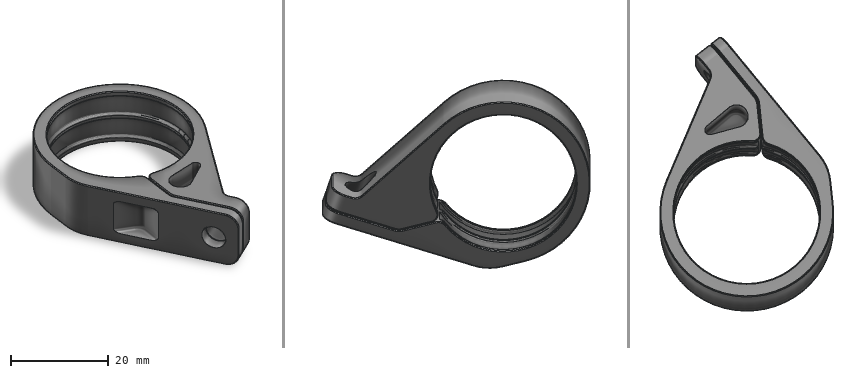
import cadquery as cq
import math

height = 12.7
half_height = height / 2
ring_radius = 17.85
bore_radius = 15.0
edge_chamfer = 0.2

tolerance = 1e-6

cutter_overrun = 1.0

lug_end_x = 32.89
lug_bottom_y = -19.29
lug_top_y = -12.7
lug_corner_radius = 3.1
flank_angle = 28.7
flank_fillet = 2.0
heel_radius = 10.16

bolt_hole_diameter = 5.2
bolt_x = 27.4

slit_width = 0.2
slit_level_y = -16.68
slit_bend_x = 17.2
slit_angle = 33.0
slit_bend_radius = 3.0
upper_lip_radius = 1.6
lower_lip_radius = 1.9

end_land = 1.0
middle_land = 0.6
groove_opening = half_height - end_land - middle_land / 2
groove_blend_radius = 0.3

tear_large_center = (17.2, -11.07)
tear_large_radius = 2.37
tear_small_center = (18.33, -5.0)
tear_small_radius = 1.02
tear_floor_fillet = 1.0
tear_depth = 5.0

wedge_center_x = 10.42
wedge_mouth = 9.86
wedge_wall_angle = 34.0
wedge_height = 8.15
wedge_apex_radius = 2.05
wedge_end_fillet = 1.05


def polar(radius, degrees, center=(0, 0)):
    """Point at a radius and angle from a centre."""
    angle = math.radians(degrees)
    return (center[0] + radius * math.cos(angle), center[1] + radius * math.sin(angle))


def make_blank():
    """Ring outline running tangentially into the lug, before the bore is cut."""
    heel_center = (0, lug_bottom_y + heel_radius)
    heel_turn = math.degrees(math.acos((ring_radius - heel_radius) / -heel_center[1]))
    heel_angle = 270 - heel_turn
    flank_cos = math.cos(math.radians(flank_angle))
    flank_sin = math.sin(math.radians(flank_angle))
    flank_end_x = (ring_radius - lug_top_y * flank_sin) / flank_cos
    blank = (
        cq.Workplane("XY")
        .workplane(offset=-half_height)
        .moveTo(*polar(ring_radius, flank_angle))
        .threePointArc(polar(ring_radius, (flank_angle + heel_angle) / 2), polar(ring_radius, heel_angle))
        .lineTo(*polar(heel_radius, heel_angle, heel_center))
        .threePointArc(polar(heel_radius, 270 - heel_turn / 2, heel_center), (0, lug_bottom_y))
        .lineTo(lug_end_x, lug_bottom_y)
        .lineTo(lug_end_x, lug_top_y)
        .lineTo(flank_end_x, lug_top_y)
        .close()
        .extrude(height)
    )
    flank_corner = cq.selectors.NearestToPointSelector((flank_end_x, lug_top_y, 0))
    blank = blank.edges(flank_corner).fillet(flank_fillet)
    return blank.edges(">X and |Y").fillet(lug_corner_radius)


def make_slit():
    """Thin bent slit from beyond the lug end to inside the bore."""
    rise = slit_bend_x * math.tan(math.radians(slit_angle))
    half_width = slit_width / 2
    shift = half_width * math.tan(math.radians(slit_angle / 2))
    steep_half = half_width / math.cos(math.radians(slit_angle))
    inner_y = slit_level_y + rise
    beyond_x = lug_end_x + cutter_overrun
    slit = (
        cq.Workplane("XY")
        .workplane(offset=-half_height)
        .polyline([
            (beyond_x, slit_level_y + half_width),
            (slit_bend_x + shift, slit_level_y + half_width),
            (0, inner_y + steep_half),
            (0, inner_y - steep_half),
            (slit_bend_x - shift, slit_level_y - half_width),
            (beyond_x, slit_level_y - half_width),
        ])
        .close()
        .extrude(height)
    )
    upper_bend = cq.selectors.NearestToPointSelector((slit_bend_x + shift, slit_level_y + half_width, 0))
    lower_bend = cq.selectors.NearestToPointSelector((slit_bend_x - shift, slit_level_y - half_width, 0))
    slit = slit.edges(upper_bend).fillet(slit_bend_radius - half_width)
    return slit.edges(lower_bend).fillet(slit_bend_radius + half_width)


def round_lips(body):
    """Round the two corners where the slit opens into the bore."""
    lips = [
        edge
        for edge in body.edges("|Z").vals()
        if edge.Center().y < 0 and math.isclose(math.hypot(edge.Center().x, edge.Center().y), bore_radius)
    ]
    lower_lip, upper_lip = sorted(lips, key=lambda edge: edge.Center().y)
    body = body.newObject([upper_lip]).fillet(upper_lip_radius)
    lower_lip_finder = cq.selectors.NearestToPointSelector(lower_lip.Center())
    return body.edges(lower_lip_finder).fillet(lower_lip_radius)


def chamfer_rims(body):
    """Break the edges of the top, the bottom and the rounded lug end."""
    tangent_x = lug_end_x - lug_corner_radius
    rims = [
        edge
        for edge in body.faces("|Z").edges().vals()
        if not (edge.geomType() == "LINE" and math.isclose(edge.Center().x, tangent_x, abs_tol=tolerance))
    ]
    lug_end = [
        edge
        for edge in body.edges("not |Y").vals()
        if edge.Center().x > tangent_x and abs(edge.Center().z) < half_height - tolerance
    ]
    return body.newObject(rims + lug_end).chamfer(edge_chamfer)


def cut_bolt_hole(body):
    """Drill through both lug halves along Y."""
    drill = (
        cq.Workplane("XZ", origin=(bolt_x, 0, 0))
        .circle(bolt_hole_diameter / 2)
        .extrude(cutter_overrun - lug_bottom_y)
    )
    return body.cut(drill)


def make_groove(start_z, rise):
    """Ring-shaped cutter starting at start_z and running up (rise = 1) or down (rise = -1)."""
    blend = groove_blend_radius
    mid_in = blend * (1 - math.sqrt(0.5))
    mid_out = blend * math.sqrt(0.5)
    floor_radius = bore_radius + 2 * blend

    def at(radius, z):
        return (radius, start_z + rise * z)

    return (
        cq.Workplane("XZ")
        .moveTo(*at(0, 0))
        .lineTo(*at(bore_radius, 0))
        .threePointArc(at(bore_radius + mid_in, mid_out), at(bore_radius + blend, blend))
        .threePointArc(at(bore_radius + blend + mid_out, blend + mid_in), at(floor_radius, 2 * blend))
        .lineTo(*at(floor_radius, groove_opening - 2 * blend))
        .threePointArc(
            at(bore_radius + blend + mid_out, groove_opening - blend - mid_in),
            at(bore_radius + blend, groove_opening - blend),
        )
        .threePointArc(at(bore_radius + mid_in, groove_opening - mid_out), at(bore_radius, groove_opening))
        .lineTo(*at(0, groove_opening))
        .close()
        .revolve(360, (0, 0, 0), (0, 1, 0))
    )


def make_teardrop():
    """Cutter for the teardrop pocket: two circles joined by their outer tangents."""
    dx = tear_small_center[0] - tear_large_center[0]
    dy = tear_small_center[1] - tear_large_center[1]
    axis = math.degrees(math.atan2(dy, dx))
    spread = math.degrees(math.acos((tear_large_radius - tear_small_radius) / math.hypot(dx, dy)))
    return (
        cq.Workplane("XY")
        .workplane(offset=half_height)
        .moveTo(*polar(tear_small_radius, axis - spread, tear_small_center))
        .threePointArc(
            polar(tear_small_radius, axis, tear_small_center),
            polar(tear_small_radius, axis + spread, tear_small_center),
        )
        .lineTo(*polar(tear_large_radius, axis + spread, tear_large_center))
        .threePointArc(
            polar(tear_large_radius, axis + 180, tear_large_center),
            polar(tear_large_radius, axis - spread, tear_large_center),
        )
        .close()
        .extrude(-tear_depth)
        .faces("<Z")
        .edges()
        .fillet(tear_floor_fillet)
    )


def make_wedge():
    """Cutter for the V-shaped pocket, extended below the face so that its mouth stays sharp."""
    slope = math.tan(math.radians(wedge_wall_angle))
    half_base = wedge_mouth / 2 + cutter_overrun / slope
    base_y = lug_bottom_y - cutter_overrun
    apex_y = lug_bottom_y + wedge_mouth / 2 * slope
    wedge = (
        cq.Workplane("XY")
        .workplane(offset=-wedge_height / 2)
        .polyline([
            (wedge_center_x - half_base, base_y),
            (wedge_center_x + half_base, base_y),
            (wedge_center_x, apex_y),
        ])
        .close()
        .extrude(wedge_height)
        .edges("|Z and >Y")
        .fillet(wedge_apex_radius)
    )
    return wedge.faces("|Z").edges("not <Y").fillet(wedge_end_fillet)


body = make_blank()
body = body.cut(cq.Workplane("XY").circle(bore_radius).extrude(height, both=True))
body = body.cut(make_slit())
body = round_lips(body)
body = chamfer_rims(body)
body = cut_bolt_hole(body)
body = body.cut(make_groove(half_height - end_land, -1))
body = body.cut(make_groove(-half_height + end_land, 1))
body = body.cut(make_teardrop())
result = body.cut(make_wedge())